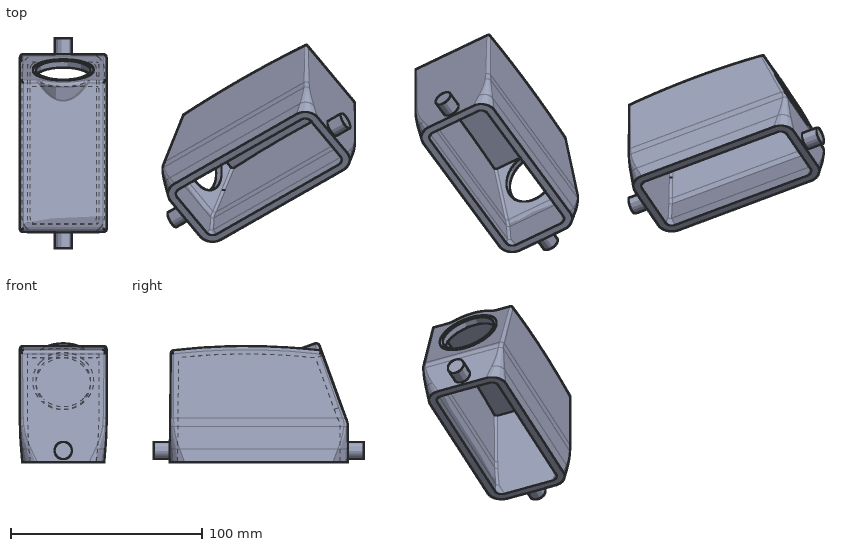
import cadquery as cq
import math

length_over_pins = 110.0
half_width = 22.8
half_length = 46.6
wall = 4.2

flare_top = 6.9
tuck_top = 23.2
slope_start = 18.7
blank_top = 66.0

tuck_radius = 191.4

rim_corner = 7.9
flare_corner = 5.3
tuck_corner = 1.9
top_corner = 1.3

front_top_setback = 0.7
slope_angle = math.radians(20.0)
slope_bend_end_y = 45.5

crown_height = 60.8
front_lean = front_top_setback / crown_height
crown_center_y = -6.6
crown_radius = 330.0
top_fillet = 2.0

entry_y = 38.5
entry_z = tuck_top + (slope_bend_end_y - entry_y) / math.tan(slope_angle)
entry_diameter = 28.6
recess_diameter = 31.9
recess_depth = 0.3
collar_radius = 21.6
collar_depth = 22.0
collar_foot_fillet = 0.9

top_zone_bottom = 56.1
foot_zone_half_width = 1.1
foot_zone_front = 22.0
foot_zone_rear = 29.2

pin_diameter = 9.0
pin_height = 6.2


def half_width_at(z):
    """Vertical wall, then a tangent arc, then its end tangent down to the rim."""
    if z >= tuck_top:
        return half_width
    drop = tuck_top - max(z, flare_top)
    arc_inset = tuck_radius - math.sqrt(tuck_radius**2 - drop**2)
    end_slope = drop / math.sqrt(tuck_radius**2 - drop**2)
    return half_width - arc_inset - end_slope * max(flare_top - z, 0)


def rear_at(z):
    """Upright rear wall, a parabolic bend, then the sloping face."""
    if z <= slope_start:
        return half_length
    if z >= tuck_top:
        return slope_bend_end_y - (z - tuck_top) * math.tan(slope_angle)
    bend = (z - slope_start) / (tuck_top - slope_start)
    return half_length - (half_length - slope_bend_end_y) * bend**2


def corner_at(z):
    if z <= flare_top:
        return rim_corner + (flare_corner - rim_corner) * z / flare_top
    if z <= tuck_top:
        rise = (tuck_top - z) / (tuck_top - flare_top)
        return tuck_corner + (flare_corner - tuck_corner) * rise**2
    return tuck_corner + (top_corner - tuck_corner) * (z - tuck_top) / (blank_top - tuck_top)


def section(z, inset, rounded):
    """Rectangle of the shell at height z, moved inwards by inset."""
    width = 2 * (half_width_at(z) - inset)
    slope_factor = 1 / math.cos(slope_angle) if z >= tuck_top else 1
    rear = rear_at(z) - inset * slope_factor
    front = front_lean * z - half_length + inset
    outline = cq.Sketch().rect(width, rear - front)
    if rounded:
        radius = max(corner_at(z) - inset, top_corner)
        outline = outline.vertices().fillet(radius)
    return outline.moved(cq.Location(cq.Vector(0, (rear + front) / 2, z)))


def loft_between(levels, inset, rounded):
    sections = [section(z, inset, rounded) for z in levels]
    return cq.Workplane("XY").placeSketch(*sections).loft(ruled=len(levels) == 2)


def crown_cylinder(inset):
    """Long cylinder along X whose upper side is the crowned top."""
    return (
        cq.Workplane("YZ")
        .center(crown_center_y, crown_height - crown_radius)
        .circle(crown_radius - inset)
        .extrude(half_width + wall, both=True)
    )


def uncrowned_form(inset, rounded=True):
    """Stacked lofts up to blank_top, not yet trimmed by the crowned top."""
    bend_middle = (slope_start + tuck_top) / 2
    flare_middle = (flare_top + slope_start) / 2
    form = loft_between([0, flare_top], inset, rounded)
    for levels in (
        [flare_top, flare_middle, slope_start],
        [slope_start, bend_middle, tuck_top],
        [tuck_top, blank_top],
    ):
        form = form.union(loft_between(levels, inset, rounded))
    return form


def crowned_form(inset, rounded=True):
    return uncrowned_form(inset, rounded).intersect(crown_cylinder(inset))


def entry_plane():
    outward = (0, math.cos(slope_angle), math.sin(slope_angle))
    return cq.Workplane(cq.Plane(origin=(0, entry_y, entry_z), xDir=(1, 0, 0), normal=outward))


sharp_body = crowned_form(0, rounded=False)
collar = entry_plane().circle(collar_radius).extrude(-collar_depth)
sharp_body = sharp_body.union(collar)

foot_zone = cq.selectors.BoxSelector(
    (-foot_zone_half_width, foot_zone_front, top_zone_bottom),
    (foot_zone_half_width, foot_zone_rear, blank_top),
)
top_zone = cq.selectors.BoxSelector(
    (-half_length, -half_length, top_zone_bottom),
    (half_length, half_length, blank_top),
)
blended_body = sharp_body.edges(foot_zone).fillet(collar_foot_fillet)
softened_body = blended_body.edges(top_zone - foot_zone).fillet(top_fillet)

body = softened_body.intersect(uncrowned_form(0))

pins = (
    cq.Workplane("XZ")
    .center(0, pin_height)
    .circle(pin_diameter / 2)
    .extrude(length_over_pins / 2, both=True)
)
body = body.union(pins)

body = body.cut(crowned_form(wall))

entry_hole = entry_plane().circle(entry_diameter / 2).extrude(-2 * wall)
entry_recess = entry_plane().circle(recess_diameter / 2).extrude(-recess_depth)
result = body.cut(entry_hole).cut(entry_recess)